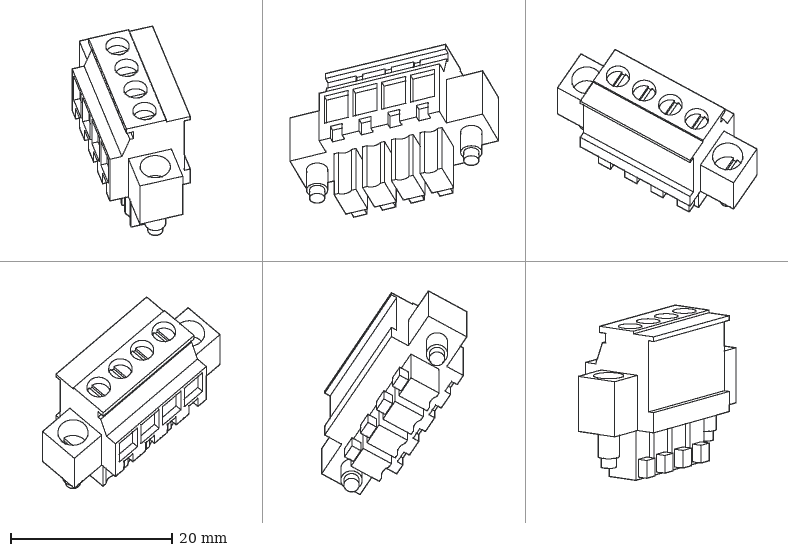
import cadquery as cq


POLE_COUNT = 4
PITCH = 3.82
POLE_XS = [(i - (POLE_COUNT - 1) / 2) * PITCH for i in range(POLE_COUNT)]
GAP_XS = [(i - (POLE_COUNT - 2) / 2) * PITCH for i in range(POLE_COUNT - 1)]

TOTAL_LENGTH = 25.63
BODY_LENGTH = 16.0
FRONT_Y = -5.2
BACK_Y = 5.25
TOP_Z = 12.5
FRONT_SHELF_Z = 7.66
SLOPE_FOOT_Y = -3.65
SLOPE_TOP_Y = -2.61
GROOVE_FLOOR_Z = 10.48
GROOVE_WALL_Y = -2.15
FRONT_LIP_Y = -3.05
FRONT_LIP_Z = 11.71
STEP_Y = 2.15
BACK_TOP_Z = 12.17
BACK_LIP_Z = 11.58
BACK_WALL_Y = 4.49
BACK_FOOT_Z = 2.56

FLANGE_LENGTH = (TOTAL_LENGTH - BODY_LENGTH) / 2
FLANGE_WIDTH = 5.6
FLANGE_HEIGHT = 7.0

POCKET_WIDTH = 3.18
POCKET_BOTTOM_Z = 2.65
POCKET_TOP_Z = 6.97
NOTCH_WIDTH = 1.56
NOTCH_HEIGHT = 1.87
FRONT_RECESS_DEPTH = 0.82
GAP_WIDTH = 0.87
GAP_DEPTH = 0.3

PLUG_WIDTH = 2.9
PLUG_FRONT_Y = -2.18
PLUG_BACK_Y = 1.92
PLUG_LENGTH = 6.59
FLUTE_WIDTH = 1.77
FLUTE_DEPTH = 0.33
TAB_WIDTH = FLUTE_WIDTH
TAB_BACK_Y = 3.2
TAB_TOP_Z = -4.0
TAB_BOTTOM_Z = -6.25

CLAMP_DIAMETER = 2.9
CLAMP_RECESS = 1.45
CLAMP_LENGTH = 3.08
CLAMP_SLOT_WIDTH = 0.55
CLAMP_SLOT_DEPTH = 0.5

FLANGE_SCREW_X = 10.25
HEAD_DIAMETER = 3.75
HEAD_TOP_Z = 3.33
HEAD_BOTTOM_Z = 1.55
SHANK_DIAMETER = 2.65
SHANK_END_Z = -3.28
TIP_DIAMETER = 1.9
TIP_END_Z = -4.6
FLANGE_SLOT_WIDTH = 0.5
FLANGE_SLOT_DEPTH = 0.65


def block(x_center, width, y_range, z_range):
    """Box centred on x_center that fills the given Y and Z ranges."""
    y_low, y_high = y_range
    z_low, z_high = z_range
    return (
        cq.Workplane("XY")
        .box(width, y_high - y_low, z_high - z_low, centered=(True, False, False))
        .translate((x_center, y_low, z_low))
    )


def rod(x_center, diameter, z_low, z_high):
    """Upright cylinder on the plane of the screw axes."""
    return (
        cq.Workplane("XY", origin=(x_center, 0, z_low))
        .circle(diameter / 2)
        .extrude(z_high - z_low)
    )


def screw_slot(x_center, diameter, width, depth, head_top_z):
    """Driver slot along Y across the whole head."""
    return block(x_center, width, (-diameter / 2, diameter / 2), (head_top_z - depth, head_top_z))


def body_shell():
    """Main housing prism with its front and back lips."""
    profile = [
        (FRONT_Y, 0),
        (FRONT_Y, FRONT_SHELF_Z),
        (SLOPE_FOOT_Y, FRONT_SHELF_Z),
        (SLOPE_TOP_Y, GROOVE_FLOOR_Z),
        (GROOVE_WALL_Y, GROOVE_FLOOR_Z),
        (GROOVE_WALL_Y, FRONT_LIP_Z),
        (FRONT_LIP_Y, FRONT_LIP_Z),
        (FRONT_LIP_Y, TOP_Z),
        (STEP_Y, TOP_Z),
        (STEP_Y, BACK_TOP_Z),
        (BACK_Y, BACK_TOP_Z),
        (BACK_Y, BACK_LIP_Z),
        (BACK_WALL_Y, BACK_LIP_Z),
        (BACK_WALL_Y, BACK_FOOT_Z),
        (BACK_Y, BACK_FOOT_Z),
        (BACK_Y, 0),
    ]
    return cq.Workplane("YZ").polyline(profile).close().extrude(BODY_LENGTH / 2, both=True)


def flange(side):
    """Screw flange on the side -1 (left) or +1 (right)."""
    x_center = side * (BODY_LENGTH + FLANGE_LENGTH) / 2
    half_width = FLANGE_WIDTH / 2
    return block(x_center, FLANGE_LENGTH, (-half_width, half_width), (0, FLANGE_HEIGHT))


def plug(x_center):
    """Contact plug with a flute down its front and a coding tab on its back."""
    half_flute = FLUTE_WIDTH / 2
    outline = (
        cq.Workplane("XY", origin=(x_center, 0, -PLUG_LENGTH))
        .moveTo(-PLUG_WIDTH / 2, PLUG_FRONT_Y)
        .lineTo(-half_flute, PLUG_FRONT_Y)
        .threePointArc((0, PLUG_FRONT_Y + FLUTE_DEPTH), (half_flute, PLUG_FRONT_Y))
        .lineTo(PLUG_WIDTH / 2, PLUG_FRONT_Y)
        .lineTo(PLUG_WIDTH / 2, PLUG_BACK_Y)
        .lineTo(-PLUG_WIDTH / 2, PLUG_BACK_Y)
        .close()
    )
    tab = block(x_center, TAB_WIDTH, (PLUG_BACK_Y, TAB_BACK_Y), (TAB_BOTTOM_Z, TAB_TOP_Z))
    return outline.extrude(PLUG_LENGTH).union(tab)


def front_recesses(x_center):
    """Wire pocket and the notch below it, both cut into the front face."""
    depth_range = (FRONT_Y, FRONT_Y + FRONT_RECESS_DEPTH)
    pocket = block(x_center, POCKET_WIDTH, depth_range, (POCKET_BOTTOM_Z, POCKET_TOP_Z))
    notch = block(x_center, NOTCH_WIDTH, depth_range, (0, NOTCH_HEIGHT))
    return pocket.union(notch)


def groove_gap(x_center):
    """Shallow gap in the wall of the front groove, between two poles."""
    depth_range = (GROOVE_WALL_Y, GROOVE_WALL_Y + GAP_DEPTH)
    return block(x_center, GAP_WIDTH, depth_range, (GROOVE_FLOOR_Z, FRONT_LIP_Z))


def clamp_hole(x_center):
    """Blind hole that the clamp screw stands in."""
    return rod(x_center, CLAMP_DIAMETER, TOP_Z - CLAMP_RECESS - CLAMP_LENGTH, TOP_Z)


def flange_hole(x_center):
    """Counterbored through hole for a flange screw."""
    counterbore = rod(x_center, HEAD_DIAMETER, HEAD_BOTTOM_Z, FLANGE_HEIGHT)
    return counterbore.union(rod(x_center, SHANK_DIAMETER, 0, HEAD_BOTTOM_Z))


def make_housing():
    housing = body_shell()
    for side in (-1, 1):
        housing = housing.union(flange(side))
        housing = housing.cut(flange_hole(side * FLANGE_SCREW_X))
    for x in POLE_XS:
        housing = housing.union(plug(x))
        housing = housing.cut(front_recesses(x))
        housing = housing.cut(clamp_hole(x))
    for x in GAP_XS:
        housing = housing.cut(groove_gap(x))
    return housing


def make_clamp_screw(x_center):
    top_z = TOP_Z - CLAMP_RECESS
    screw = rod(x_center, CLAMP_DIAMETER, top_z - CLAMP_LENGTH, top_z)
    return screw.cut(screw_slot(x_center, CLAMP_DIAMETER, CLAMP_SLOT_WIDTH, CLAMP_SLOT_DEPTH, top_z))


def make_flange_screw(x_center):
    head = rod(x_center, HEAD_DIAMETER, HEAD_BOTTOM_Z, HEAD_TOP_Z)
    shank = rod(x_center, SHANK_DIAMETER, SHANK_END_Z, HEAD_BOTTOM_Z)
    tip = rod(x_center, TIP_DIAMETER, TIP_END_Z, SHANK_END_Z)
    slot = screw_slot(x_center, HEAD_DIAMETER, FLANGE_SLOT_WIDTH, FLANGE_SLOT_DEPTH, HEAD_TOP_Z)
    return head.union(shank).union(tip).cut(slot)


housing = make_housing()
clamp_screws = [make_clamp_screw(x) for x in POLE_XS]
flange_screws = [make_flange_screw(side * FLANGE_SCREW_X) for side in (-1, 1)]

result = cq.Compound.makeCompound(
    [
        housing.val(),
        *[screw.val() for screw in clamp_screws],
        *[screw.val() for screw in flange_screws],
    ]
)